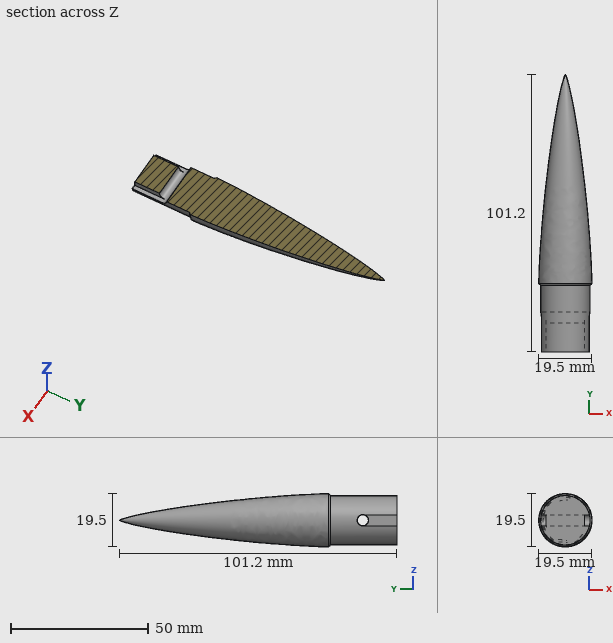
import cadquery as cq
import math

shank_diameter = 18.0
shank_length = 25.0

nose_diameter = 19.5
nose_length = 76.2
nose_curve_steps = 24

hole_diameter = 4.0
hole_position = 12.5
keyway_floor_offset = 7.0

shank_radius = shank_diameter / 2
nose_radius = nose_diameter / 2
shoulder_chamfer = nose_radius - shank_radius
tip_position = shank_length + nose_length


def nose_point(angle):
    """Point (radius, Y) of the Von Karman curve; angle 0 is the tip, pi the base."""
    distance_from_tip = nose_length * (1 - math.cos(angle)) / 2
    radius = nose_radius * math.sqrt((angle - math.sin(2 * angle) / 2) / math.pi)
    return radius, tip_position - distance_from_tip


def make_body():
    """Shank, 45 degree shoulder and nose revolved as one profile about Y."""
    nose_curve = [
        nose_point(math.pi * (1 - step / nose_curve_steps))
        for step in range(1, nose_curve_steps)
    ]
    nose_curve.append((0, tip_position))
    return (
        cq.Workplane("XY")
        .lineTo(shank_radius, 0)
        .lineTo(shank_radius, shank_length - shoulder_chamfer)
        .lineTo(nose_radius, shank_length)
        .spline(nose_curve, includeCurrent=True)
        .close()
        .revolve(360, (0, 0, 0), (0, 1, 0))
    )


def make_cross_hole():
    return (
        cq.Workplane("YZ")
        .center(hole_position, 0)
        .circle(hole_diameter / 2)
        .extrude(shank_radius, both=True)
    )


def make_keyway(side):
    """Keyway as wide as the hole, from the flat end to the hole; side is -1 or +1 along X."""
    keyway_depth = shank_radius - keyway_floor_offset
    keyway_middle = side * (keyway_floor_offset + keyway_depth / 2)
    return (
        cq.Workplane("XY")
        .box(keyway_depth, hole_position, hole_diameter)
        .translate((keyway_middle, hole_position / 2, 0))
    )


result = make_body().cut(make_cross_hole())
for side in (-1, 1):
    result = result.cut(make_keyway(side))